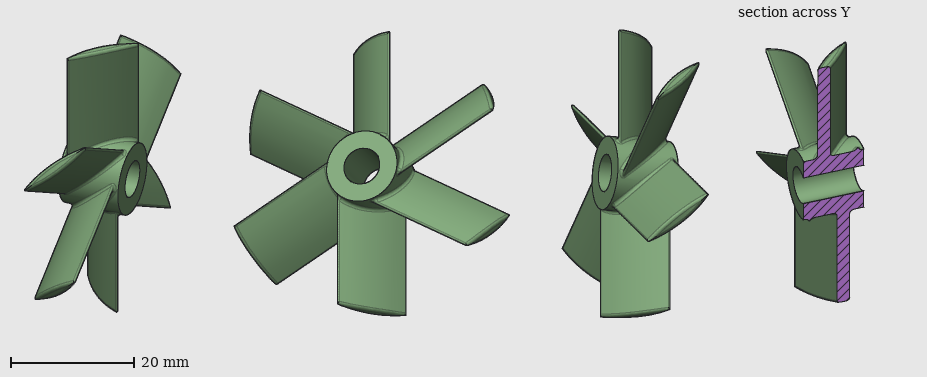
import cadquery as cq
import math

hub_length = 10.5
hub_diameter = 12.05
bore_diameter = 6.1

blade_count = 6
tip_diameter = 47.0
pitch_angle = 45.0
blade_width = 8.95
blade_thickness = 1.9
edge_radius = 0.25
tip_round = 0.5
root_fillet = 0.5
root_start = 3.4


def axial_cylinder(diameter, length):
    """Cylinder centred on the origin, along X, with its seam on the -Z side."""
    cylinder = cq.Workplane("XY").cylinder(length, diameter / 2)
    return cylinder.rotate((0, 0, 0), (0, 1, 0), 90)


def lens_section(half_chord, half_thickness):
    """Section across Z, bounded by two arcs that meet at sharp edges on the X axis."""
    return (
        cq.Workplane("XY", origin=(0, 0, root_start))
        .moveTo(-half_chord, 0)
        .threePointArc((0, half_thickness), (half_chord, 0))
        .threePointArc((0, -half_thickness), (-half_chord, 0))
        .close()
    )


def make_blade():
    """Radial blade along +Z, with rounded edges and a rounded tip on the tip cylinder."""
    core_half_chord = (blade_width / 2 - edge_radius) / math.cos(math.radians(pitch_angle))
    core_half_thickness = blade_thickness / 2 - edge_radius
    rounded_section = lens_section(core_half_chord, core_half_thickness).offset2D(edge_radius)
    rounded_bar = rounded_section.extrude(tip_diameter / 2)

    face_radius = (core_half_chord**2 + core_half_thickness**2) / (2 * core_half_thickness) + edge_radius
    sharp_half_chord = math.sqrt(face_radius**2 - (face_radius - blade_thickness / 2) ** 2)
    sharp_bar = lens_section(sharp_half_chord, blade_thickness / 2).extrude(tip_diameter / 2)
    tipped_bar = (
        sharp_bar.rotate((0, 0, 0), (0, 0, 1), pitch_angle)
        .intersect(axial_cylinder(tip_diameter, 2 * hub_length))
        .faces(">Z")
        .edges()
        .fillet(tip_round)
    )
    return rounded_bar.rotate((0, 0, 0), (0, 0, 1), pitch_angle).intersect(tipped_bar)


def make_sector():
    """Whole hub cylinder carrying a single blade with a filleted root."""
    sector = axial_cylinder(hub_diameter, hub_length).union(make_blade())
    root_zone = cq.selectors.BoxSelector(
        (-blade_width / 2, -blade_width / 2, root_start),
        (blade_width / 2, blade_width / 2, hub_diameter / 2),
    )
    return sector.edges(root_zone).fillet(root_fillet)


sector = make_sector()
rotor = sector
for index in range(1, blade_count):
    rotor = rotor.union(sector.rotate((0, 0, 0), (1, 0, 0), index * 360 / blade_count))

result = rotor.cut(axial_cylinder(bore_diameter, hub_length))